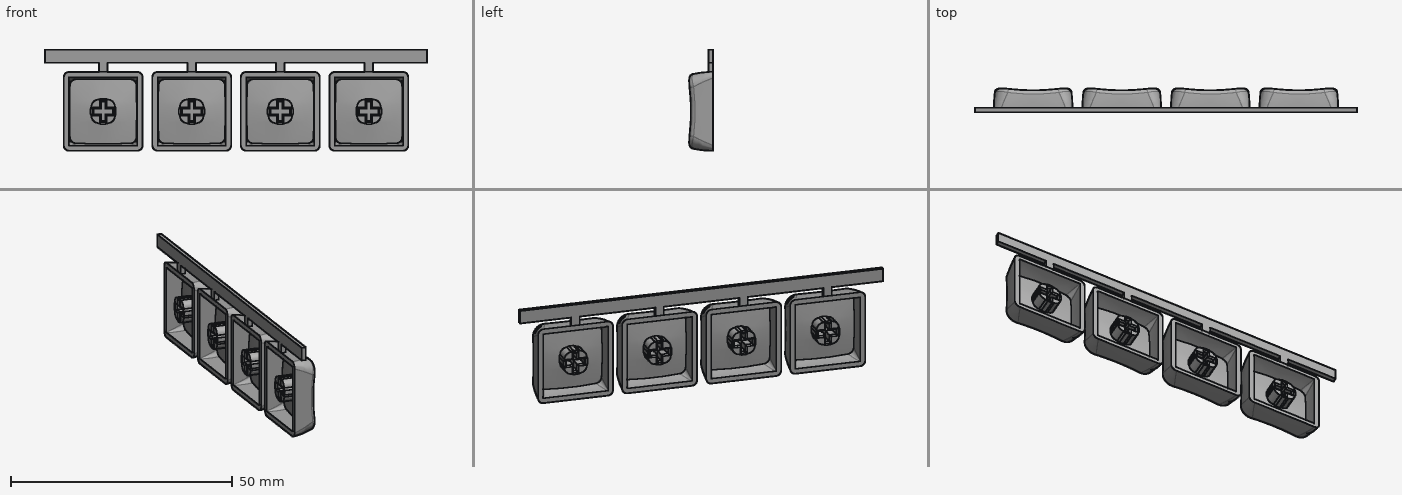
import cadquery as cq


row_length = 86.4
cap_count = 4
end_margin = 4.2
cap_size = 17.9
cap_pitch = (row_length - 2 * end_margin - cap_size) / (cap_count - 1)
cap_places = [cap_pitch * (i - (cap_count - 1) / 2) for i in range(cap_count)]

rail_height = 3.0
rail_depth = 1.0
tab_width = 2.0
tab_length = 2.0

blank_depth = 6.05
wall = 1.2
rim_corner_radius = 1.3
blank_corner_radius = 3.45
blank_lean_x = 0.4
blank_lean_z = 0.9
top_fillet = 1.0
dish_radius = 46.6
dish_bottom = 4.4

cavity_size = cap_size - 2 * wall
cavity_rim_radius = rim_corner_radius - wall
cavity_corner_radius = 1.9
cavity_lean_x = 0.5
cavity_lean_z = 1.1
web = 1.3
floor_y = dish_bottom - web
floor_radius = dish_radius + web

stem_size = 5.35
stem_corner_radius = 1.7
lug_span = 5.8
lug_width = 2.2
lug_tip_width = 1.0
slot_length = 4.2
slot_width_across = 1.2
slot_width_upright = 0.9
slot_lead_in = 0.35
stem_blank_depth = floor_y + web / 2


def curved_block(size, rim_radius, end_radius, lean_x, lean_z):
    """Rounded square block whose walls start square to the rim and curve inwards."""
    sections = []
    for share in (0, 0.5, 1):
        width = size - 2 * lean_x * share ** 2
        height = size - 2 * lean_z * share ** 2
        radius = rim_radius + (end_radius - rim_radius) * share
        outline = cq.Sketch().rect(width, height).vertices().fillet(radius)
        sections.append(outline.moved(cq.Location(cq.Vector(0, 0, -share * blank_depth))))
    return cq.Workplane("XZ").placeSketch(*sections).loft()


def ball(front_y, radius):
    """Large sphere whose frontmost point is on the cap axis at front_y."""
    return cq.Workplane("XY").sphere(radius).translate((0, front_y + radius, 0))


def make_shell():
    outside = curved_block(cap_size, rim_corner_radius, blank_corner_radius, blank_lean_x, blank_lean_z)
    outside = outside.cut(ball(dish_bottom, dish_radius))
    outside = outside.faces(">Y").edges().fillet(top_fillet)
    cavity = curved_block(cavity_size, cavity_rim_radius, cavity_corner_radius, cavity_lean_x, cavity_lean_z)
    cavity = cavity.cut(ball(floor_y, floor_radius))
    return outside.cut(cavity)


def stem_bar(width, height):
    """Rectangular bar from the rim plane into the web."""
    return cq.Workplane("XZ").rect(width, height).extrude(-stem_blank_depth)


def slot_arm(width, height):
    """One arm of the cross, through the whole post, with its flared mouth at the rim plane."""
    flare = (
        cq.Workplane("XZ")
        .rect(width + 2 * slot_lead_in, height + 2 * slot_lead_in)
        .workplane(offset=-slot_lead_in)
        .rect(width, height)
        .loft(ruled=True)
    )
    return stem_bar(width, height).union(flare)


def lug_pair():
    """Two opposite lugs, facing up and down, joined through the post."""
    outline = [
        (lug_tip_width / 2, lug_span / 2),
        (lug_width / 2, stem_size / 2),
        (lug_width / 2, -stem_size / 2),
        (lug_tip_width / 2, -lug_span / 2),
    ]
    outline += [(-x, z) for x, z in reversed(outline)]
    return cq.Workplane("XZ").polyline(outline).close().extrude(-stem_blank_depth)


def make_stem():
    """Post from the rim plane to the web, with a lug on each flat and a cross-shaped slot."""
    post = stem_bar(stem_size, stem_size).edges("|Y").fillet(stem_corner_radius)
    lugs = lug_pair()
    post = post.union(lugs).union(lugs.rotate((0, 0, 0), (0, 1, 0), 90))
    post = post.cut(slot_arm(slot_length, slot_width_across))
    return post.cut(slot_arm(slot_width_upright, slot_length))


def make_cap(x):
    return make_shell().union(make_stem()).translate((x, 0, 0))


def rail_bar(length, height, x, bottom):
    """Flat bar of the rail thickness, centred on x and standing on a height."""
    block = cq.Workplane("XY").box(length, rail_depth, height, centered=(True, False, False))
    return block.translate((x, 0, bottom))


def make_rail(caps):
    """Rail with one tab per cap; the tabs end on the upper walls of the caps."""
    rim_top = cap_size / 2
    tab_overlap = wall / 2
    rail = rail_bar(row_length, rail_height, 0, rim_top + tab_length)
    for x, cap in zip(cap_places, caps):
        tab = rail_bar(tab_width, tab_length + tab_overlap, x, rim_top - tab_overlap)
        rail = rail.union(tab.cut(cap))
    return rail


caps = [make_cap(x) for x in cap_places]
rail = make_rail(caps)
result = cq.Compound.makeCompound([rail.solids().val()] + [cap.solids().val() for cap in caps])